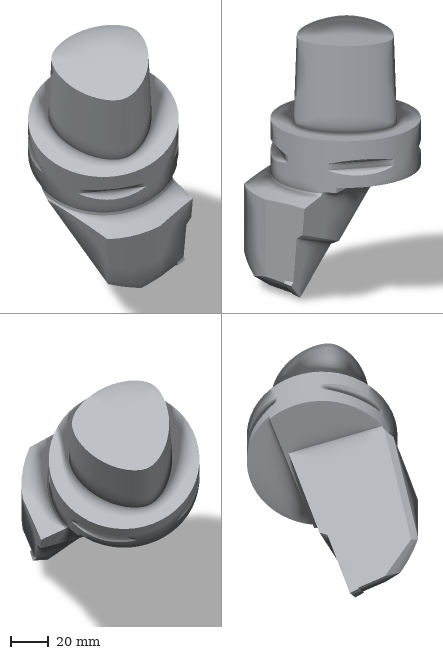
import cadquery as cq
import math


SHANK_HEIGHT = 48.0
SHANK_BASE_RADIUS = 27.5
SHANK_TOP_RADIUS = 25.8
LOBE_HEIGHT = 1.9
SHANK_POINTS = 48

FLANGE_RADIUS = 80.0 / 2
FLANGE_HEIGHT = 29.1
RELIEF_HEIGHT = 3.0
RELIEF_Y = 17.0
SLOT_Z = -15.0
SLOT_DEPTH = 4.3
SLOT_FLOOR_HEIGHT = 3.7
SLOT_MOUTH_HEIGHT = 8.8

NECK_BOTTOM_Z = -29.9
COLLAR_RADIUS = 41.0
COLLAR_Z = -31.1
ARM_RADIUS = 54.5
CONE_EDGE_Z = -34.6
BLANK_RADIUS = 55.8
BLANK_EDGE_Z = -34.9
ARM_BACK_Y = -42.0
FLANK_START_Y = -17.7
FLANK_END_X = 53.8
FLANK_END_Y = 7.6
BACK_CHAMFER = 3.3
HEEL_TOP_Y = -39.0
HEEL_TOP_Z = -74.2
HEEL_LOW_Y = -20.4
HEEL_LOW_Z = -85.0

TIP_X = 45.9
TIP_Y = 0.3
TIP_Z = SHANK_HEIGHT - 135.9
RAKE_ANGLE = 7.3
INSERT_SIZE = 12.8
INSERT_THICKNESS = 5.3
CLEARANCE_ANGLE = 5.0
END_GAP = 1.0
SIDE_GAP = 0.3

RAKE_STEP = 3.5
STEP_TOP_X = 20.5
STEP_TOP_Z = -62.0
STEP_DROP = 2.3
STEP_RISE = 12.2
STEP_RUN = 33.3

BIG = 163.0

rake = math.radians(RAKE_ANGLE)
diagonal = math.sqrt(0.5)
insert_plane = cq.Plane(
    origin=(TIP_X, TIP_Y, TIP_Z),
    xDir=(diagonal * math.cos(rake), -math.sin(rake), -diagonal * math.cos(rake)),
    normal=(diagonal * math.sin(rake), math.cos(rake), -diagonal * math.sin(rake)),
)


def lobed_wire(mean_radius, z):
    """Constant-width three-lobed curve with one lobe toward +Y."""
    points = []
    for i in range(SHANK_POINTS):
        angle = 2 * math.pi * i / SHANK_POINTS
        reach = mean_radius + LOBE_HEIGHT * math.cos(3 * angle)
        slide = 3 * LOBE_HEIGHT * math.sin(3 * angle)
        along = reach * math.cos(angle) + slide * math.sin(angle)
        across = reach * math.sin(angle) - slide * math.cos(angle)
        points.append(cq.Vector(-across, along, z))
    return cq.Wire.assembleEdges([cq.Edge.makeSpline(points, periodic=True)])


def make_shank():
    base = lobed_wire(SHANK_BASE_RADIUS, 0)
    top = lobed_wire(SHANK_TOP_RADIUS, SHANK_HEIGHT)
    return cq.Workplane(obj=cq.Solid.makeLoft([base, top]))


def make_gripper_slot():
    """Straight groove with sloping walls, cut into the +X side of the flange."""
    floor_x = FLANGE_RADIUS - SLOT_DEPTH
    half_floor = SLOT_FLOOR_HEIGHT / 2
    half_mouth = SLOT_MOUTH_HEIGHT / 2
    return (
        cq.Workplane("XZ")
        .polyline([
            (floor_x, SLOT_Z - half_floor),
            (FLANGE_RADIUS, SLOT_Z - half_mouth),
            (FLANGE_RADIUS, SLOT_Z + half_mouth),
            (floor_x, SLOT_Z + half_floor),
        ])
        .close()
        .extrude(FLANGE_RADIUS, both=True)
    )


def cut_flange(body):
    """Cut the underside relief and the four gripper slots."""
    relief = (
        cq.Workplane("XY", origin=(0, RELIEF_Y, -FLANGE_HEIGHT))
        .box(BIG, BIG, RELIEF_HEIGHT, centered=(True, False, False))
    )
    body = body.cut(relief)
    slot = make_gripper_slot()
    for quarter in range(4):
        body = body.cut(slot.rotate((0, 0, 0), (0, 0, 1), 45 + 90 * quarter))
    return body


def make_turned_blank():
    """Flange and neck that widen through a cone to beyond the arm outline."""
    return (
        cq.Workplane("XZ")
        .polyline([
            (0, 0),
            (FLANGE_RADIUS, 0),
            (FLANGE_RADIUS, NECK_BOTTOM_Z),
            (COLLAR_RADIUS, COLLAR_Z),
            (ARM_RADIUS, CONE_EDGE_Z),
            (BLANK_RADIUS, BLANK_EDGE_Z),
            (BLANK_RADIUS, TIP_Z),
            (0, TIP_Z),
        ])
        .close()
        .revolve(360, (0, 0, 0), (0, 1, 0))
    )


def make_arm_outline():
    """Plan outline of the arm, extruded down from the flange."""
    back_corner_x = math.sqrt(ARM_RADIUS**2 - ARM_BACK_Y**2)
    flank_start_x = math.sqrt(ARM_RADIUS**2 - FLANK_START_Y**2)
    mid_angle = (math.atan2(ARM_BACK_Y, back_corner_x) + math.atan2(FLANK_START_Y, flank_start_x)) / 2
    flank_slope = (FLANK_END_X - flank_start_x) / (FLANK_END_Y - FLANK_START_Y)
    return (
        cq.Workplane("XY", origin=(0, 0, -FLANGE_HEIGHT))
        .moveTo(-FLANGE_RADIUS, ARM_BACK_Y)
        .lineTo(back_corner_x, ARM_BACK_Y)
        .threePointArc(
            (ARM_RADIUS * math.cos(mid_angle), ARM_RADIUS * math.sin(mid_angle)),
            (flank_start_x, FLANK_START_Y),
        )
        .lineTo(flank_start_x + flank_slope * (FLANGE_RADIUS - FLANK_START_Y), FLANGE_RADIUS)
        .lineTo(-FLANGE_RADIUS, FLANGE_RADIUS)
        .close()
        .extrude(-BIG)
    )


def make_arm_envelope():
    """Block bounded by the rake face, the arm end and the slanted arm side."""
    return (
        cq.Workplane(insert_plane)
        .workplane(offset=RAKE_STEP)
        .center(-END_GAP, -SIDE_GAP)
        .rect(-BIG, -BIG, centered=False)
        .extrude(-BIG)
    )


def make_back_chamfer():
    """Wedge along the edge between the slanted side and the back face."""
    plane = cq.Plane(
        origin=(TIP_X + SIDE_GAP * diagonal, ARM_BACK_Y, TIP_Z + SIDE_GAP * diagonal),
        xDir=(diagonal, 0, diagonal),
        normal=(diagonal, 0, -diagonal),
    )
    return (
        cq.Workplane(plane)
        .polyline([(0, 0), (BACK_CHAMFER, 0), (0, -BACK_CHAMFER)])
        .close()
        .extrude(BIG, both=True)
    )


def make_heel_cut():
    """Everything below the sloping plane under the back of the arm."""
    slope = (HEEL_LOW_Z - HEEL_TOP_Z) / (HEEL_LOW_Y - HEEL_TOP_Y)
    far_z = HEEL_TOP_Z - slope * (HEEL_TOP_Y + BIG)
    end_y = HEEL_TOP_Y + (TIP_Z - HEEL_TOP_Z) / slope
    return (
        cq.Workplane("YZ")
        .polyline([(end_y, TIP_Z), (-BIG, far_z), (-BIG, TIP_Z)])
        .close()
        .extrude(BIG)
    )


def make_rake_step():
    """Oblique prism that lowers the rake face below a leaning step wall."""
    slope = math.tan(rake)
    along = (STEP_TOP_X - TIP_X - STEP_TOP_Z + TIP_Z) * diagonal
    foot_y = TIP_Y - slope * (along + STEP_DROP * diagonal)
    foot_z = STEP_TOP_Z - STEP_DROP
    end_z = TIP_Z - BIG
    end_y = foot_y - slope * (foot_z - end_z) * diagonal
    wall_y = foot_y + 2 * RAKE_STEP
    wall_z = foot_z + 2 * STEP_DROP
    profile = cq.Wire.makePolygon([
        cq.Vector(STEP_TOP_X, foot_y, foot_z),
        cq.Vector(STEP_TOP_X, wall_y, wall_z),
        cq.Vector(STEP_TOP_X, wall_y, end_z),
        cq.Vector(STEP_TOP_X, end_y, end_z),
    ], close=True)
    sweep = cq.Vector(STEP_RUN, -slope * (STEP_RUN - STEP_RISE) * diagonal, STEP_RISE)
    prism = cq.Solid.extrudeLinear(profile, [], sweep * 4)
    return cq.Workplane(obj=prism.translate(sweep * -2))


def make_arm_space():
    """Space that the arm fills below the flange, apart from the cone above it."""
    return (
        make_arm_outline()
        .intersect(make_arm_envelope())
        .cut(make_back_chamfer())
        .cut(make_heel_cut())
        .cut(make_rake_step())
    )


def make_insert():
    """Square insert narrowing below its top face."""
    base_size = INSERT_SIZE - 2 * INSERT_THICKNESS * math.tan(math.radians(CLEARANCE_ANGLE))
    return (
        cq.Workplane(insert_plane)
        .center(-INSERT_SIZE / 2, -INSERT_SIZE / 2)
        .rect(INSERT_SIZE, INSERT_SIZE)
        .workplane(offset=-INSERT_THICKNESS)
        .rect(base_size, base_size)
        .loft(ruled=True)
    )


def make_turned_body():
    """Flange, neck and cone, cut away below the flange except at the arm."""
    flange_space = (
        cq.Workplane("XY", origin=(0, 0, -FLANGE_HEIGHT))
        .box(BIG, BIG, FLANGE_HEIGHT, centered=(True, True, False))
    )
    return make_turned_blank().intersect(flange_space.union(make_arm_space()))


insert = make_insert()
body = cut_flange(make_turned_body())
holder = make_shank().union(body).cut(insert)

result = cq.Compound.makeCompound([holder.solids().val(), insert.val()])